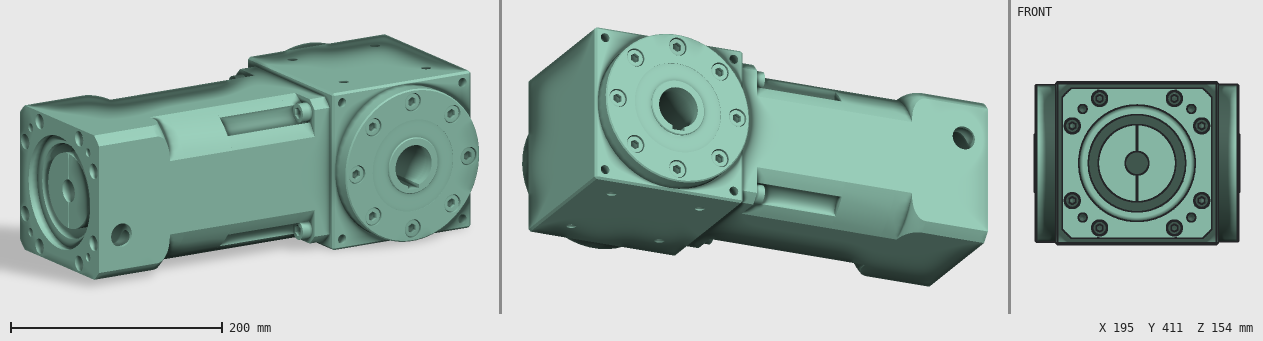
import cadquery as cq
import math


OVERALL_LENGTH = 411.0
REAR_Y = OVERALL_LENGTH / 2
CUBE_SIDE = 154.0
CUBE_Y = REAR_Y - CUBE_SIDE / 2
MOUNT_Y = REAR_Y - CUBE_SIDE
FLANGE_THICKNESS = 17.0
RELIEF_Y = MOUNT_Y - FLANGE_THICKNESS
FLANGE_FRONT_Y = 17.3
GEAR_STAGE_FRONT_Y = -57.0
SPACER_FRONT_Y = -109.5
SHOULDER_Y = -126.5
MOTOR_Y = REAR_Y - OVERALL_LENGTH

TRAIN_SIDE = 142.0
CORNER_DIAMETER = 188.5
BARREL_DIAMETER = 159.0
SHOULDER_RADIUS = 14.5

CUBE_CHAMFER = 2.0
DISC_DIAMETER = 149.0
DISC_FACE_X = 96.0
DISC_CHAMFER = 1.2
SEAL_DIAMETER = 89.5
SEAL_RECESS = 0.5
SHAFT_DIAMETER = 55.0
SHAFT_LENGTH = 195.0
SHAFT_CHAMFER = 1.0
BORE_DIAMETER = 40.3
KEYWAY_WIDTH = 12.5
KEYWAY_FLOOR = 23.0
DISC_SCREW_COUNT = 8
DISC_SCREW_CIRCLE = 124.0
DISC_BORE_DIAMETER = 18.0
DISC_HEAD_DIAMETER = 16.5
DISC_HEAD_SUNK = 1.5
DISC_COUNTERBORE_DEPTH = 10.3
DISC_SOCKET_FLATS = 8.2
DISC_SOCKET_DEPTH = 5.0
FACE_HOLE_SPACING = 91.5
FACE_HOLE_DIAMETER = 9.5
SIDE_HOLE_SPACING = 134.0
SIDE_HOLE_DIAMETER = 9.0
DRILL_DEPTH = 12.5
DRILL_POINT_ANGLE = 118.0

FLANGE_SCREW_SPACING = 115.0
FLANGE_HEAD_DIAMETER = 18.0
FLANGE_HEAD_HEIGHT = 10.3
FLANGE_SOCKET_FLATS = 10.0
FLANGE_SOCKET_DEPTH = 5.0
ACCESS_GROOVE_DIAMETER = 21.5

PILOT_DIAMETER = 110.0
PILOT_DEPTH = 9.5
HUB_WELL_DIAMETER = 92.0
HUB_WELL_DEPTH = 41.0
HUB_DIAMETER = 73.0
HUB_FACE_DEPTH = 10.3
HUB_BORE_DIAMETER = 22.0
CLAMP_SLIT_WIDTH = 1.5
CLAMP_SLIT_DEPTH = 20.5
MOTOR_BOLT_CIRCLE = 141.5
MOTOR_BOLT_ANGLES = (30, 60)
MOTOR_BORE_DIAMETER = 15.0
MOTOR_BORE_DEPTH = 65.8
MOTOR_HEAD_DIAMETER = 13.0
MOTOR_HEAD_HEIGHT = 8.2
MOTOR_SOCKET_FLATS = 6.0
MOTOR_SOCKET_DEPTH = 4.0
MOTOR_TAP_SPACING = 102.8
MOTOR_TAP_DIAMETER = 8.2
CLAMP_ACCESS_DIAMETER = 23.0
CLAMP_ACCESS_Y = -180.5
CLAMP_ACCESS_Z = 28.8


def corners(spacing):
    """Centres of a square four-point pattern."""
    half = spacing / 2
    return [(sx * half, sy * half) for sx in (-1, 1) for sy in (-1, 1)]


def rod(diameter, start, direction, length):
    """A cylinder from a start point along a direction."""
    return cq.Workplane(cq.Solid.makeCylinder(diameter / 2, length, cq.Vector(*start), cq.Vector(*direction)))


def y_rod(diameter, front_y, rear_y, x=0.0, z=0.0):
    """A cylinder parallel to the motor axis."""
    return rod(diameter, (x, front_y, z), (0, 1, 0), rear_y - front_y)


def drilled_hole(diameter, start, direction, depth=DRILL_DEPTH):
    """Cutter for a blind hole with a conical drill point."""
    radius = diameter / 2
    point_length = radius / math.tan(math.radians(DRILL_POINT_ANGLE / 2))
    axis = cq.Vector(*direction)
    shank_end = cq.Vector(*start) + axis * depth
    point = cq.Workplane(cq.Solid.makeCone(radius, 0, point_length, shank_end, axis))
    return rod(diameter, start, direction, depth).union(point)


def hex_socket(flats, start, direction, point_direction, depth):
    """Hexagonal cutter whose corners lie along point_direction."""
    plane = cq.Plane(origin=start, xDir=point_direction, normal=direction)
    corner_diameter = flats / math.cos(math.pi / 6)
    return cq.Workplane(plane).polygon(6, corner_diameter).extrude(depth)


def square_bar(front_y, rear_y):
    """Square bar along the motor axis with its corners turned to the corner diameter."""
    length = rear_y - front_y
    bar = cq.Workplane("XY").box(TRAIN_SIDE, length, TRAIN_SIDE).translate((0, front_y + length / 2, 0))
    return bar.intersect(y_rod(CORNER_DIAMETER, front_y, rear_y))


def barrel(front_y, rear_y):
    """Square bar whose corners are turned down to the barrel diameter."""
    return square_bar(front_y, rear_y).intersect(y_rod(BARREL_DIAMETER, front_y, rear_y))


def access_grooves(front_y, rear_y):
    """Cutters for the grooves that lead to the four flange screws."""
    grooves = cq.Workplane()
    for x, z in corners(FLANGE_SCREW_SPACING):
        grooves = grooves.add(y_rod(ACCESS_GROOVE_DIAMETER, front_y, rear_y, x, z))
    return grooves.combine()


def add_disc_screws(body, side):
    """Sunk socket-head screws around one output disc."""
    floor_x = side * (DISC_FACE_X - DISC_COUNTERBORE_DEPTH)
    head_x = side * (DISC_FACE_X - DISC_HEAD_SUNK)
    head_height = DISC_COUNTERBORE_DEPTH - DISC_HEAD_SUNK
    outward = (side, 0, 0)
    inward = (-side, 0, 0)
    for index in range(DISC_SCREW_COUNT):
        angle = 2 * math.pi * index / DISC_SCREW_COUNT
        y = CUBE_Y + DISC_SCREW_CIRCLE / 2 * math.cos(angle)
        z = DISC_SCREW_CIRCLE / 2 * math.sin(angle)
        body = body.cut(rod(DISC_BORE_DIAMETER, (floor_x, y, z), outward, DISC_COUNTERBORE_DEPTH))
        body = body.union(rod(DISC_HEAD_DIAMETER, (floor_x, y, z), outward, head_height))
        socket = hex_socket(DISC_SOCKET_FLATS, (head_x, y, z), inward, (0, 0, 1), DISC_SOCKET_DEPTH)
        body = body.cut(socket)
        body = body.cut(drilled_hole(DISC_SOCKET_FLATS, (head_x, y, z), inward, DISC_SOCKET_DEPTH))
    return body


def make_output_housing():
    """Cubic housing with two output discs and the keyed hollow shaft."""
    half = CUBE_SIDE / 2
    body = cq.Workplane("XY").box(CUBE_SIDE, CUBE_SIDE, CUBE_SIDE).edges().chamfer(CUBE_CHAMFER)
    body = body.translate((0, CUBE_Y, 0))

    for side in (-1, 1):
        outward = (side, 0, 0)
        disc = rod(DISC_DIAMETER, (0, CUBE_Y, 0), outward, DISC_FACE_X)
        face = ">X" if side > 0 else "<X"
        body = body.union(disc.faces(face).edges().chamfer(DISC_CHAMFER))
        seal_x = side * (DISC_FACE_X - SEAL_RECESS)
        body = body.cut(rod(SEAL_DIAMETER, (seal_x, CUBE_Y, 0), outward, SEAL_RECESS))
        body = add_disc_screws(body, side)
        for y, z in corners(SIDE_HOLE_SPACING):
            body = body.cut(drilled_hole(SIDE_HOLE_DIAMETER, (side * half, CUBE_Y + y, z), (-side, 0, 0)))

    for side in (-1, 1):
        for x, y in corners(FACE_HOLE_SPACING):
            body = body.cut(drilled_hole(FACE_HOLE_DIAMETER, (x, CUBE_Y + y, side * half), (0, 0, -side)))

    shaft_start = (-SHAFT_LENGTH / 2, CUBE_Y, 0)
    shaft = rod(SHAFT_DIAMETER, shaft_start, (1, 0, 0), SHAFT_LENGTH)
    shaft = shaft.faces("<X or >X").edges().chamfer(SHAFT_CHAMFER)
    keyway = cq.Workplane("XY").box(SHAFT_LENGTH, KEYWAY_WIDTH, KEYWAY_FLOOR)
    keyway = keyway.translate((0, CUBE_Y, -KEYWAY_FLOOR / 2))
    body = body.union(shaft)
    body = body.cut(rod(BORE_DIAMETER, shaft_start, (1, 0, 0), SHAFT_LENGTH))
    return body.cut(keyway)


def make_flange():
    """Mounting flange with its four socket-head screws."""
    body = square_bar(RELIEF_Y, MOUNT_Y).union(barrel(FLANGE_FRONT_Y, RELIEF_Y))
    body = body.cut(access_grooves(FLANGE_FRONT_Y, RELIEF_Y))
    head_y = RELIEF_Y - FLANGE_HEAD_HEIGHT
    for x, z in corners(FLANGE_SCREW_SPACING):
        body = body.union(y_rod(FLANGE_HEAD_DIAMETER, head_y, RELIEF_Y, x, z))
        socket = hex_socket(FLANGE_SOCKET_FLATS, (x, head_y, z), (0, 1, 0), (0, 0, 1), FLANGE_SOCKET_DEPTH)
        body = body.cut(socket)
    return body


def make_gear_stage():
    """Ring-gear section grooved along its corners for screwdriver access."""
    body = barrel(GEAR_STAGE_FRONT_Y, FLANGE_FRONT_Y)
    return body.cut(access_grooves(GEAR_STAGE_FRONT_Y, FLANGE_FRONT_Y))


def make_spacer():
    """Plain section between the gear stage and the motor adapter."""
    return barrel(SPACER_FRONT_Y, GEAR_STAGE_FRONT_Y)


def add_motor_screws(body):
    """Deep bores in the motor face with socket-head screws at their floors."""
    floor_y = MOTOR_Y + MOTOR_BORE_DEPTH
    head_y = floor_y - MOTOR_HEAD_HEIGHT
    for quadrant in range(4):
        for offset in MOTOR_BOLT_ANGLES:
            angle = math.radians(90 * quadrant + offset)
            x = MOTOR_BOLT_CIRCLE / 2 * math.cos(angle)
            z = MOTOR_BOLT_CIRCLE / 2 * math.sin(angle)
            body = body.cut(y_rod(MOTOR_BORE_DIAMETER, MOTOR_Y, floor_y, x, z))
            body = body.union(y_rod(MOTOR_HEAD_DIAMETER, head_y, floor_y, x, z))
            socket = hex_socket(MOTOR_SOCKET_FLATS, (x, head_y, z), (0, 1, 0), (0, 0, 1), MOTOR_SOCKET_DEPTH)
            body = body.cut(socket)
    return body


def make_motor_adapter():
    """Motor adapter with a rounded rear shoulder and a slit clamp hub in its well.

    An access hole on each side leads to the hub, above the axis on -X and below it on +X.
    """
    block = square_bar(MOTOR_Y, SHOULDER_Y)
    turned = y_rod(CORNER_DIAMETER, MOTOR_Y, SHOULDER_Y).faces(">Y").edges().fillet(SHOULDER_RADIUS)
    body = block.intersect(turned).union(barrel(SHOULDER_Y, SPACER_FRONT_Y))

    well_floor_y = MOTOR_Y + HUB_WELL_DEPTH
    body = body.cut(y_rod(PILOT_DIAMETER, MOTOR_Y, MOTOR_Y + PILOT_DEPTH))
    body = body.cut(y_rod(HUB_WELL_DIAMETER, MOTOR_Y, well_floor_y))
    for side in (-1, 1):
        clamp_access = (side * TRAIN_SIDE / 2, CLAMP_ACCESS_Y, -side * CLAMP_ACCESS_Z)
        body = body.cut(rod(CLAMP_ACCESS_DIAMETER, clamp_access, (-side, 0, 0), TRAIN_SIDE / 2))

    hub_face_y = MOTOR_Y + HUB_FACE_DEPTH
    hub = y_rod(HUB_DIAMETER, hub_face_y, well_floor_y)
    hub = hub.cut(y_rod(HUB_BORE_DIAMETER, hub_face_y, well_floor_y))
    slit = cq.Workplane("XY").box(CLAMP_SLIT_WIDTH, CLAMP_SLIT_DEPTH, HUB_DIAMETER)
    hub = hub.cut(slit.translate((0, hub_face_y + CLAMP_SLIT_DEPTH / 2, 0)))
    body = body.union(hub)

    body = add_motor_screws(body)
    for x, z in corners(MOTOR_TAP_SPACING):
        body = body.cut(drilled_hole(MOTOR_TAP_DIAMETER, (x, MOTOR_Y, z), (0, 1, 0)))
    return body


output_housing = make_output_housing()
flange = make_flange()
gear_stage = make_gear_stage()
spacer = make_spacer()
motor_adapter = make_motor_adapter()

result = cq.Compound.makeCompound(
    [
        output_housing.val(),
        flange.val(),
        gear_stage.val(),
        spacer.val(),
        motor_adapter.val(),
    ]
)